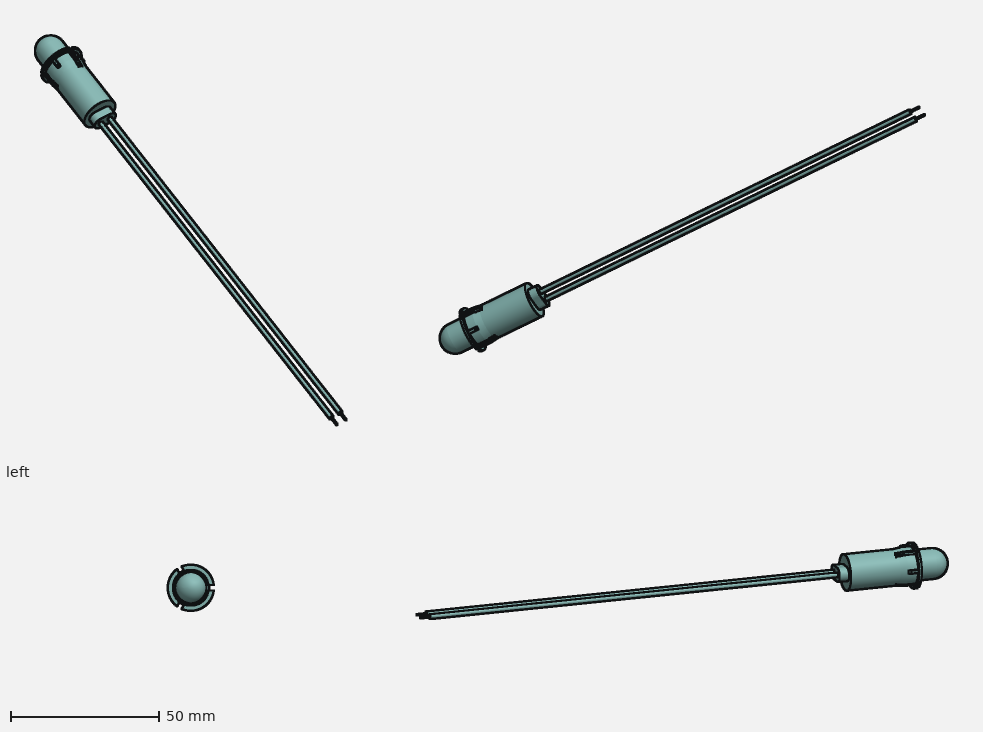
import cadquery as cq


TOTAL_LENGTH = 189.1

LENS_RADIUS = 5.3

FLANGE_FRONT_X = 11.7
FLANGE_THICKNESS = 1.0
COLLAR_END_X = 16.0
TAPER_END_X = 18.7
SLOT_END_X = 19.5
BARREL_END_X = 36.5
BOSS_LENGTH = 3.4
FLANGE_BACK_X = FLANGE_FRONT_X + FLANGE_THICKNESS
BOSS_END_X = BARREL_END_X + BOSS_LENGTH

FLANGE_RADIUS = 15.7 / 2
COLLAR_RADIUS = 6.6
BARREL_RADIUS = 6.2
COUNTERBORE_RADIUS = 6.0

SLOT_COUNT = 3
SLOT_PITCH = 360 / SLOT_COUNT
SLOT_WIDTH = 1.7
RIB_RADIUS = 7.2
RIB_WIDTH = 1.1
RIB_TOP_END_X = 15.3

WIRE_SPACING = 3.5
BOSS_HEIGHT = 5.0
INSULATION_DIAMETER = 1.7
CORE_DIAMETER = 0.5
STRIPPED_LENGTH = 3.4


def make_lens():
    """Round rod with a hemispherical tip, seated in the housing bore."""
    profile = (
        cq.Workplane("XY")
        .moveTo(0, 0)
        .radiusArc((LENS_RADIUS, LENS_RADIUS), LENS_RADIUS)
        .lineTo(SLOT_END_X, LENS_RADIUS)
        .lineTo(SLOT_END_X, 0)
        .close()
    )
    return profile.revolve(360, (0, 0, 0), (1, 0, 0))


def make_housing_shell():
    """Flange, collar, taper and barrel, turned around the X axis."""
    profile = cq.Workplane("XY").polyline([
        (FLANGE_FRONT_X, 0),
        (FLANGE_FRONT_X, FLANGE_RADIUS),
        (FLANGE_BACK_X, FLANGE_RADIUS),
        (FLANGE_BACK_X, COLLAR_RADIUS),
        (COLLAR_END_X, COLLAR_RADIUS),
        (TAPER_END_X, BARREL_RADIUS),
        (BARREL_END_X, BARREL_RADIUS),
        (BARREL_END_X, 0),
    ]).close()
    return profile.revolve(360, (0, 0, 0), (1, 0, 0))


def make_rib():
    """Snap rib on the +Y side of the collar, ramped down at its rear end."""
    return (
        cq.Workplane("XY")
        .polyline([
            (FLANGE_BACK_X, COUNTERBORE_RADIUS),
            (FLANGE_BACK_X, RIB_RADIUS),
            (RIB_TOP_END_X, RIB_RADIUS),
            (COLLAR_END_X, COLLAR_RADIUS),
            (COLLAR_END_X, COUNTERBORE_RADIUS),
        ])
        .close()
        .extrude(RIB_WIDTH / 2, both=True)
    )


def make_slot_cutter():
    """Slot on the -Y side, from the flange face back to the end of the bore."""
    return cq.Workplane("XY").box(
        SLOT_END_X - FLANGE_FRONT_X, FLANGE_RADIUS, SLOT_WIDTH, centered=(False, False, True)
    ).translate((FLANGE_FRONT_X, -FLANGE_RADIUS, 0))


def make_boss():
    """Oval boss on the rear face of the barrel."""
    return (
        cq.Workplane("YZ", origin=(BARREL_END_X, 0, 0))
        .slot2D(WIRE_SPACING + BOSS_HEIGHT, BOSS_HEIGHT)
        .extrude(BOSS_LENGTH)
    )


def make_bore(radius, end_x):
    """Cylinder to be cut from the flange face back to end_x."""
    return (
        cq.Workplane("YZ", origin=(FLANGE_FRONT_X, 0, 0))
        .circle(radius)
        .extrude(end_x - FLANGE_FRONT_X)
    )


def make_housing():
    """Slotted snap-in housing with a blind lens bore, opened out under the collar."""
    housing = make_housing_shell().union(make_boss())
    rib = make_rib()
    slot = make_slot_cutter()
    for index in range(SLOT_COUNT):
        angle = index * SLOT_PITCH
        housing = housing.union(rib.rotate((0, 0, 0), (1, 0, 0), angle))
        housing = housing.cut(slot.rotate((0, 0, 0), (1, 0, 0), angle))
    housing = housing.cut(make_bore(COUNTERBORE_RADIUS, COLLAR_END_X))
    return housing.cut(make_bore(LENS_RADIUS, SLOT_END_X))


def make_wire(y):
    """Insulated wire from the boss face, with a bare core at its free end."""
    insulation_end_x = TOTAL_LENGTH - STRIPPED_LENGTH
    insulation = (
        cq.Workplane("YZ", origin=(BOSS_END_X, y, 0))
        .circle(INSULATION_DIAMETER / 2)
        .extrude(insulation_end_x - BOSS_END_X)
    )
    return insulation.faces(">X").workplane().circle(CORE_DIAMETER / 2).extrude(STRIPPED_LENGTH)


lens = make_lens()
housing = make_housing()
wires = [make_wire(side * WIRE_SPACING / 2) for side in (-1, 1)]

result = cq.Compound.makeCompound([
    lens.val(),
    housing.val(),
    *[wire.val() for wire in wires],
])